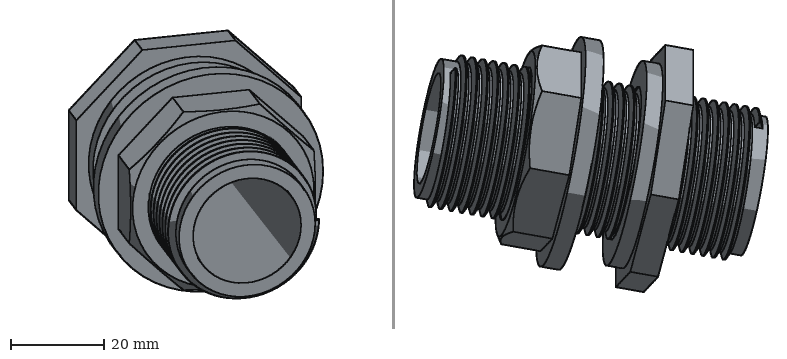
import cadquery as cq
import math

tube_length = 71.0
bore_diameter = 24.0
root_diameter = 30.25
crest_diameter = 33.2

thread_start = 2.05
thread_length = 66.7
thread_section_turns = [9, 10, 10]
thread_pitch = thread_length / sum(thread_section_turns)
ridge_root_width = 1.8
ridge_crest_width = 0.3
ridge_embed = 0.2

flange_start = 18.5
flange_thickness = 6.1
flange_across_flats = 50.0

washer_thickness = 3.5
washer_diameter = 44.6

nut_start = 38.1
collar_thickness = 4.0
collar_diameter = flange_across_flats
head_length = 9.95
head_across_flats = 41.05
head_end_diameter = 40.3
head_chamfer_length = 1.35

octagon_sides = 8
flat_angle = 180 / octagon_sides
washer_start = flange_start + flange_thickness
head_start = nut_start + collar_thickness
nut_end = head_start + head_length


def disc(start, length, diameter):
    """Solid cylinder about the X axis."""
    return cq.Workplane("YZ", origin=(start, 0, 0)).circle(diameter / 2).extrude(length)


def octagon(start, length, across_flats):
    """Octagonal prism about the X axis with flats facing +-Y and +-Z."""
    across_corners = across_flats / math.cos(math.radians(flat_angle))
    return (
        cq.Workplane("YZ", origin=(start, 0, 0))
        .transformed(rotate=(0, 0, flat_angle))
        .polygon(octagon_sides, across_corners)
        .extrude(length)
    )


def make_thread_ridge(start, turns):
    """Helical ridge of trapezoidal section, starting on the +Y side of the tube."""
    root_radius = root_diameter / 2
    crest_radius = crest_diameter / 2
    base_radius = root_radius - ridge_embed
    flank_slope = (ridge_root_width - ridge_crest_width) / (crest_radius - root_radius)
    base_width = ridge_root_width + flank_slope * ridge_embed
    helix = cq.Wire.makeHelix(thread_pitch, turns * thread_pitch, base_radius)
    ridge = (
        cq.Workplane("XZ")
        .polyline(
            [
                (base_radius, -base_width / 2),
                (crest_radius, -ridge_crest_width / 2),
                (crest_radius, ridge_crest_width / 2),
                (base_radius, base_width / 2),
            ]
        )
        .close()
        .sweep(cq.Workplane(obj=helix), isFrenet=True)
    )
    return ridge.rotate((0, 0, 0), (1, 1, 1), 120).translate((start, 0, 0))


def make_fitting():
    """Threaded tube with its octagonal flange."""
    fitting_solid = disc(0, tube_length, root_diameter)
    section_start = thread_start
    for turns in thread_section_turns:
        fitting_solid = fitting_solid.union(make_thread_ridge(section_start, turns))
        section_start += turns * thread_pitch
    flange = octagon(flange_start, flange_thickness, flange_across_flats)
    bore = disc(0, tube_length, bore_diameter)
    return fitting_solid.union(flange).cut(bore)


def make_washer():
    """Flat ring that slides over the thread crests."""
    ring = disc(washer_start, washer_thickness, washer_diameter)
    return ring.cut(disc(washer_start, washer_thickness, crest_diameter))


def make_nut():
    """Collared octagonal nut with a conical chamfer on its free end."""
    corner_radius = head_across_flats / 2 / math.cos(math.radians(flat_angle))
    chamfer_envelope = (
        cq.Workplane("XY")
        .polyline(
            [
                (head_start, 0),
                (head_start, corner_radius),
                (nut_end - head_chamfer_length, corner_radius),
                (nut_end, head_end_diameter / 2),
                (nut_end, 0),
            ]
        )
        .close()
        .revolve(360, (0, 0, 0), (1, 0, 0))
    )
    head = octagon(head_start, head_length, head_across_flats).intersect(chamfer_envelope)
    collar = disc(nut_start, collar_thickness, collar_diameter)
    bore = disc(nut_start, nut_end - nut_start, crest_diameter)
    return collar.union(head).cut(bore)


fitting = make_fitting()
washer = make_washer()
nut = make_nut()

result = cq.Compound.makeCompound(
    [fitting.solids().val(), washer.solids().val(), nut.solids().val()]
)